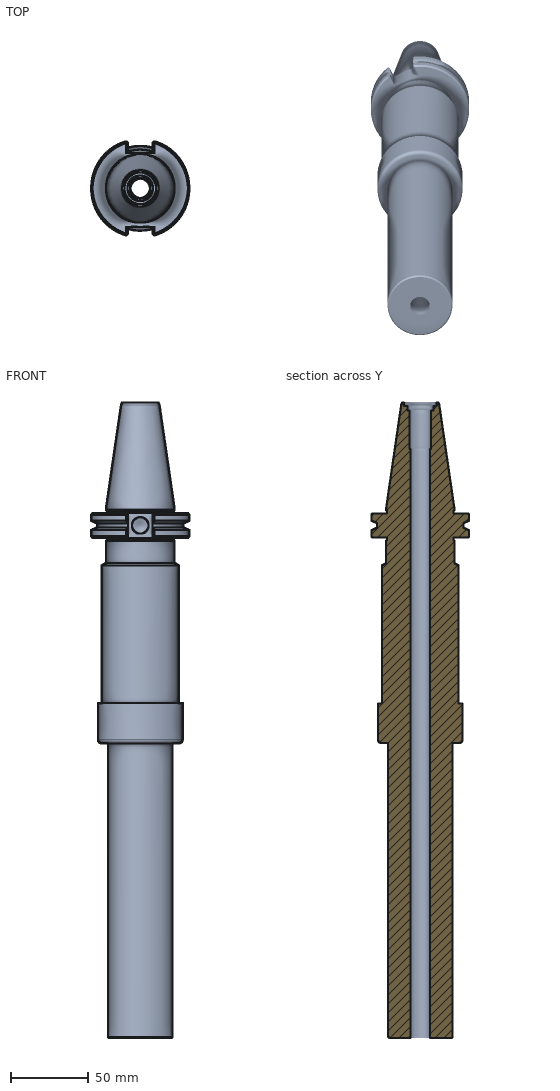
import cadquery as cq
import math

GAUGE_D = 44.45
TAPER_LENGTH = 68.4
TAPER_RATIO = 7 / 24
TIP_FACE_D = 23.5
TIP_CHAMFER_LENGTH = 1.5

FLANGE_D = 63.55
FLANGE_TOP = -3.2
FLANGE_BOTTOM = -19.1
FLANGE_CHAMFER = 1.0
GROOVE_CENTRE = -11.1
GROOVE_ROOT_D = 56.25
GROOVE_ROOT_WIDTH = 2.7
GROOVE_FLANK_ANGLE = 25
NECK_D = 44.45
RELIEF_D = 43.4
RELIEF_LENGTH = 2.0

SLOT_WIDTH = 16.1
SLOT_MOUTH_WIDTH = 18.5
SLOT_FLOOR_FRONT = 25.0
SLOT_FLOOR_BACK = 22.8
DIMPLE_D = 10.7
DIMPLE_DEPTH = 1.0
DIMPLE_TIP_ANGLE = 140

COLLAR_D = 50.0
COLLAR_TOP = -35.4
COLLAR_SHOULDER_LENGTH = 1.6
RING_D = 55.0
RING_TOP = -126.0
RING_BOTTOM = -152.0
RING_FILLET = 2.5
TUBE_D = 42.0
TUBE_END_D = 40.3
OVERALL_LENGTH = 411.05

THROUGH_BORE_D = 12.5
THREAD_D = 13.53
THREAD_DEPTH = 30.0
RECESS_D = 20.5
RECESS_DEPTH = 2.0
COUNTERBORE_D = 16.5
COUNTERBORE_DEPTH = 5.0

TIP_Z = TAPER_LENGTH
BOTTOM_Z = TIP_Z - OVERALL_LENGTH


def cylinder(diameter, low, high):
    return cq.Workplane("XY").workplane(offset=low).circle(diameter / 2).extrude(high - low)


def revolved(profile):
    """Solid of revolution about Z from a closed (radius, z) outline."""
    return cq.Workplane("XZ").polyline(profile).close().revolve(360, (0, 0), (0, 1))


def taper():
    chamfer_z = TIP_Z - TIP_CHAMFER_LENGTH
    chamfer_r = (GAUGE_D - chamfer_z * TAPER_RATIO) / 2
    profile = [(0, 0), (GAUGE_D / 2, 0), (chamfer_r, chamfer_z), (TIP_FACE_D / 2, TIP_Z), (0, TIP_Z)]
    return revolved(profile)


def flange():
    disc = cylinder(FLANGE_D, FLANGE_BOTTOM, FLANGE_TOP).edges("%CIRCLE").chamfer(FLANGE_CHAMFER)
    root_r = GROOVE_ROOT_D / 2
    root_half = GROOVE_ROOT_WIDTH / 2
    rim_r = FLANGE_D / 2
    rim_half = root_half + (rim_r - root_r) * math.tan(math.radians(GROOVE_FLANK_ANGLE))
    profile = [
        (root_r, GROOVE_CENTRE - root_half),
        (rim_r, GROOVE_CENTRE - rim_half),
        (rim_r, GROOVE_CENTRE + rim_half),
        (root_r, GROOVE_CENTRE + root_half),
    ]
    return disc.cut(revolved(profile))


def drive_slot(side, floor):
    """Radial slot through the flange on the given Y side, its mouth edges bevelled."""
    half = SLOT_WIDTH / 2
    mouth_half = SLOT_MOUTH_WIDTH / 2
    rim_y = math.sqrt((FLANGE_D / 2) ** 2 - mouth_half ** 2)
    bevel_y = rim_y - (mouth_half - half)
    outer_y = FLANGE_D / 2
    right = [(half, floor), (half, bevel_y), (mouth_half, rim_y), (mouth_half, outer_y)]
    left = [(-x, y) for x, y in reversed(right)]
    outline = [(x, side * y) for x, y in right + left]
    height = FLANGE_TOP - FLANGE_BOTTOM
    slot = cq.Workplane("XY").workplane(offset=FLANGE_BOTTOM).polyline(outline).close().extrude(height)
    for face_z, inward in ((FLANGE_TOP, -1), (FLANGE_BOTTOM, 1)):
        bevel_z = face_z + inward * (mouth_half - half)
        section = [(-mouth_half, face_z), (mouth_half, face_z), (half, bevel_z), (-half, bevel_z)]
        flare = cq.Workplane("XZ", origin=(0, side * floor, 0)).polyline(section).close()
        slot = slot.union(flare.extrude(-side * (outer_y - floor)))
    return slot


def relief(flange_z, direction):
    """Ring that cuts a neck groove next to a flange face, leaving on a 45-degree slope."""
    depth = (NECK_D - RELIEF_D) / 2
    end_z = flange_z + direction * RELIEF_LENGTH
    profile = [
        (RELIEF_D / 2, flange_z),
        (NECK_D / 2, flange_z),
        (NECK_D / 2, end_z),
        (RELIEF_D / 2, end_z - direction * depth),
    ]
    return revolved(profile)


def neck():
    plain = cylinder(NECK_D, COLLAR_TOP, 0)
    return plain.cut(relief(FLANGE_TOP, 1)).cut(relief(FLANGE_BOTTOM, -1))


def dimple():
    """Blind drilled hole with a conical bottom in the -Y slot floor."""
    radius = DIMPLE_D / 2
    bottom = SLOT_FLOOR_FRONT - DIMPLE_DEPTH
    tip = bottom - radius / math.tan(math.radians(DIMPLE_TIP_ANGLE / 2))
    profile = [(0, -SLOT_FLOOR_FRONT), (radius, -SLOT_FLOOR_FRONT), (radius, -bottom), (0, -tip)]
    drill = cq.Workplane("XY").polyline(profile).close().revolve(360, (0, 0), (0, 1))
    return drill.translate((0, 0, GROOVE_CENTRE))


def body():
    collar = cylinder(COLLAR_D, RING_TOP, COLLAR_TOP)
    shoulder_width = (COLLAR_D - NECK_D) / 2
    collar = collar.faces(">Z").chamfer(COLLAR_SHOULDER_LENGTH, shoulder_width)
    ring = cylinder(RING_D, RING_BOTTOM, RING_TOP).faces("<Z").edges().fillet(RING_FILLET)
    tube = cylinder(TUBE_D, BOTTOM_Z, RING_BOTTOM).faces("<Z").chamfer((TUBE_D - TUBE_END_D) / 2)
    return collar.union(ring).union(tube)


def bores():
    through = cylinder(THROUGH_BORE_D, BOTTOM_Z, TIP_Z)
    thread = cylinder(THREAD_D, TIP_Z - THREAD_DEPTH, TIP_Z)
    counterbore = cylinder(COUNTERBORE_D, TIP_Z - COUNTERBORE_DEPTH, TIP_Z)
    recess = cylinder(RECESS_D, TIP_Z - RECESS_DEPTH, TIP_Z)
    return through.union(thread).union(counterbore).union(recess)


slots = drive_slot(-1, SLOT_FLOOR_FRONT).union(drive_slot(1, SLOT_FLOOR_BACK))
slotted_flange = flange().cut(slots)
result = taper().union(neck()).union(slotted_flange).union(body())
result = result.cut(dimple()).cut(bores())